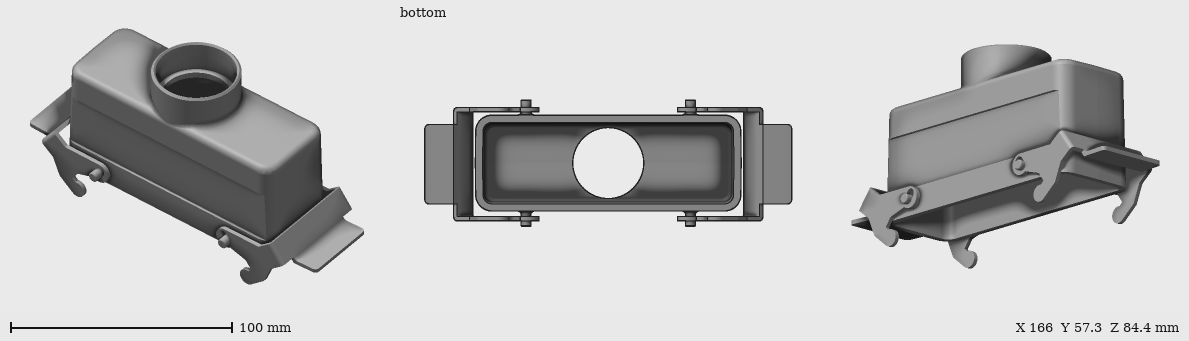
import cadquery as cq
import math

HOOD_LENGTH = 119.9
HOOD_WIDTH = 43.5
HOOD_HEIGHT = 54.8
DRAFT_ANGLE = 1.0
CROWN = 0.25
CORNER_RADIUS = 7.5
ROOF_EDGE_RADIUS = 3.3
WALL = 3.3
CEILING_Z = 52.8
CEILING_EDGE_RADIUS = 1.7

RECESS_HALF_WIDTH = 20.3
RECESS_BOTTOM = 13.0
RECESS_TOP = 39.8
RECESS_TOP_DROP = 0.8

BOSS_DIAMETER = 41.0
BOSS_TOP = 70.9
BOSS_BASE = 33.2
BOSS_RIM_CHAMFER = 1.0
MOUTH_CHAMFER = 0.8
BOSS_ROOT_RADIUS = 2.0
COUNTERBORE_DIAMETER = 37.0
COUNTERBORE_DEPTH = 15.3
ENTRY_DIAMETER = 32.0

PIN_X = 37.2
PIN_Z = 6.1
PIN_DIAMETER = 4.6
PIN_SPAN = 57.3
PIN_ROOT_RADIUS = 1.2
PIN_COLLAR_Y = 21.9
PIN_TIP_CHAMFER = 0.3

SHEET = 2.0
LEVER_WIDTH = 51.3
LEVER_SHIFT_Y = 0.5
BEND_RADIUS = 2.0
INNER_BEND_RADIUS = 0.5
PLATE_TOP = (-62.7, 17.6)
PLATE_ANGLE = math.radians(52)
PLATE_LENGTH = 11.8
BEND_DISTANCE = 13.5
UPPER_EDGE_LENGTH = 8.8
LOWER_EDGE_LENGTH = 6.8

EYE_CENTRE = (-36.4, 7.0)
EYE_RADIUS = 5.06
SLOT_END = (-35.5, 8.5)

SHOULDER = (-62.7, 2.7)
HEEL = (-59.0, -6.5)
HEEL_RADIUS = 1.7
HOOK_CENTRE = (-49.0, -9.5)
HOOK_RADIUS = 4.0
HOOK_MOUTH = (-50.0, HOOK_CENTRE[1] + HOOK_RADIUS)
NOTCH = (-51.5, -4.0)
ARM_CORNER = (-48.5, 0.2)
ARM_END = (-39.8, 2.8)

TAB_TIP_X = -83.0
TAB_TILT = math.radians(2)
TAB_WIDTH = 36.0
TAB_CORNER_RADIUS = 2.0
TAB_BEND_RADIUS = 2.3



def front_half_block(half_length, half_width, height, corner_radius, roof_edge_radius):
    """Half of a drafted block on the -Y side, whose roof and ends rise to a slight ridge at Y = 0."""
    overlap = half_width / 2
    overlap_half_length = half_length + CROWN * (1 + overlap / half_width)
    outline = [
        (-overlap_half_length, overlap),
        (-half_length, -half_width),
        (half_length, -half_width),
        (overlap_half_length, overlap),
    ]
    block = cq.Workplane("XY").polyline(outline).close().extrude(height, taper=DRAFT_ANGLE)
    cross_section = [(-half_width, 0), (0, 0), (0, height), (-half_width, height - CROWN)]
    envelope = cq.Workplane("YZ").polyline(cross_section).close().extrude(overlap_half_length, both=True)
    block = block.intersect(envelope)
    block = block.faces("<Y").edges("not #Z").edges("not |X").fillet(corner_radius)
    return block.faces(">Z").edges("not(|X and >Y)").fillet(roof_edge_radius)


def add_front_boss(half):
    """Front half of the cable entry boss, blended into the roof."""
    radius = BOSS_DIAMETER / 2
    boss = cq.Workplane("XY").workplane(offset=BOSS_BASE).circle(radius).extrude(BOSS_TOP - BOSS_BASE)
    boss = boss.faces(">Z").chamfer(BOSS_RIM_CHAMFER)
    front_space = cq.Workplane("XY").box(BOSS_DIAMETER, BOSS_DIAMETER, 2 * BOSS_TOP)
    boss = boss.intersect(front_space.translate((0, -radius, 0)))
    half = half.union(boss)

    def is_on_root(edge):
        points = [edge.positionAt(t) for t in (0, 0.3, 1)]
        on_boss = all(abs(math.hypot(p.x, p.y) - radius) < 0.02 for p in points)
        return on_boss and edge.Center().z < HOOD_HEIGHT + BOSS_ROOT_RADIUS

    root_edges = [edge for edge in half.edges().vals() if is_on_root(edge)]
    return half.newObject(root_edges).fillet(BOSS_ROOT_RADIUS)


def cut_side_recess(half):
    """Flat upright recess along the whole long side, with a slightly sloping upper edge."""
    half_width = HOOD_WIDTH / 2
    cross_section = [
        (-half_width, RECESS_BOTTOM),
        (-RECESS_HALF_WIDTH, RECESS_BOTTOM),
        (-RECESS_HALF_WIDTH, RECESS_TOP - RECESS_TOP_DROP),
        (-half_width, RECESS_TOP),
    ]
    recess = cq.Workplane("YZ").polyline(cross_section).close().extrude(HOOD_LENGTH, both=True)
    return half.cut(recess)


def make_front_pin(x):
    """Pivot pin pointing along -Y, with a concave flare where it meets the side wall."""
    radius = PIN_DIAMETER / 2
    root_y = HOOD_WIDTH / 2 - WALL / 2
    flare_radius = radius + PIN_ROOT_RADIUS
    tip_y = PIN_SPAN / 2
    slant = PIN_ROOT_RADIUS * math.sqrt(0.5)
    profile = (
        cq.Workplane("XY")
        .moveTo(0, -root_y)
        .lineTo(flare_radius, -root_y)
        .lineTo(flare_radius, -PIN_COLLAR_Y)
        .threePointArc(
            (flare_radius - slant, -PIN_COLLAR_Y - PIN_ROOT_RADIUS + slant),
            (radius, -PIN_COLLAR_Y - PIN_ROOT_RADIUS),
        )
        .lineTo(radius, -tip_y + PIN_TIP_CHAMFER)
        .lineTo(radius - PIN_TIP_CHAMFER, -tip_y)
        .lineTo(0, -tip_y)
        .close()
    )
    pin = profile.revolve(360, (0, 0, 0), (0, 1, 0))
    return pin.translate((x, 0, PIN_Z))


def mirrored_about_xz(half):
    return half.union(half.mirror("XZ"))


def make_housing():
    half = front_half_block(HOOD_LENGTH / 2, HOOD_WIDTH / 2, HOOD_HEIGHT, CORNER_RADIUS, ROOF_EDGE_RADIUS)
    half = add_front_boss(half)
    half = cut_side_recess(half)
    cavity = front_half_block(
        HOOD_LENGTH / 2 - WALL, HOOD_WIDTH / 2 - WALL, CEILING_Z, CORNER_RADIUS - WALL, CEILING_EDGE_RADIUS
    )
    half = half.cut(cavity)
    for x in (-PIN_X, PIN_X):
        half = half.union(make_front_pin(x))
    housing = mirrored_about_xz(half)
    entry = cq.Workplane("XY").workplane(offset=BOSS_TOP)
    housing = housing.cut(entry.circle(COUNTERBORE_DIAMETER / 2).extrude(-COUNTERBORE_DEPTH))
    housing = housing.cut(entry.circle(ENTRY_DIAMETER / 2).extrude(-BOSS_TOP))
    mouth = entry.circle(COUNTERBORE_DIAMETER / 2 + MOUTH_CHAMFER).extrude(-MOUTH_CHAMFER, taper=45)
    return housing.cut(mouth)



def from_point(start, direction, distance):
    return (start[0] + distance * direction[0], start[1] + distance * direction[1])


def tangent_point(point, centre, radius):
    """Where the line from a point touches a circle, on the circle's lower left."""
    dx = point[0] - centre[0]
    dy = point[1] - centre[1]
    angle = math.atan2(dy, dx) + math.acos(radius / math.hypot(dx, dy))
    return (centre[0] + radius * math.cos(angle), centre[1] + radius * math.sin(angle))


def side_prism(profile, width):
    """Solid from a profile in the XZ plane, centred on Y = 0."""
    return profile.extrude(width / 2, both=True)


DOWN_PLATE = (-math.cos(PLATE_ANGLE), -math.sin(PLATE_ANGLE))
INTO_LEVER = (math.sin(PLATE_ANGLE), -math.cos(PLATE_ANGLE))
PLATE_BOTTOM = from_point(PLATE_TOP, DOWN_PLATE, PLATE_LENGTH)


def make_cheek_block():
    """Side outline of the lever, with its hook and its eye, across the full width."""
    hook_tangent = tangent_point(HEEL, HOOK_CENTRE, HOOK_RADIUS)
    outline = [
        PLATE_TOP,
        from_point(PLATE_TOP, INTO_LEVER, UPPER_EDGE_LENGTH),
        (EYE_CENTRE[0], EYE_CENTRE[1] + EYE_RADIUS),
        EYE_CENTRE,
        ARM_END,
        ARM_CORNER,
        NOTCH,
        HOOK_MOUTH,
        HOOK_CENTRE,
        hook_tangent,
        HEEL,
        SHOULDER,
        from_point(PLATE_BOTTOM, INTO_LEVER, LOWER_EDGE_LENGTH),
        PLATE_BOTTOM,
    ]
    block = side_prism(cq.Workplane("XZ").polyline(outline).close(), LEVER_WIDTH)
    heel_edge = cq.selectors.NearestToPointSelector((HEEL[0], 0, HEEL[1]))
    block = block.edges("|Y").edges(heel_edge).fillet(HEEL_RADIUS)
    for centre, radius in ((EYE_CENTRE, EYE_RADIUS), (HOOK_CENTRE, HOOK_RADIUS)):
        block = block.union(side_prism(cq.Workplane("XZ").center(*centre).circle(radius), LEVER_WIDTH))
    return block


def bend_into_channel(block):
    """Rounds the outer bends and hollows the block into a cross plate with two cheeks."""
    outer_face = block.faces(cq.selectors.DirectionMinMaxSelector(cq.Vector(-INTO_LEVER[0], 0, -INTO_LEVER[1])))
    block = outer_face.edges("not |Y").fillet(BEND_RADIUS)
    reach = 4 * LEVER_WIDTH
    inner_start = from_point(PLATE_TOP, INTO_LEVER, SHEET)
    hollow_corners = [
        from_point(inner_start, DOWN_PLATE, -reach),
        from_point(inner_start, DOWN_PLATE, reach),
        from_point(from_point(inner_start, DOWN_PLATE, reach), INTO_LEVER, reach),
        from_point(from_point(inner_start, DOWN_PLATE, -reach), INTO_LEVER, reach),
    ]
    hollow = side_prism(cq.Workplane("XZ").polyline(hollow_corners).close(), LEVER_WIDTH - 2 * SHEET)
    inner_face = hollow.faces(cq.selectors.DirectionMinMaxSelector(cq.Vector(-INTO_LEVER[0], 0, -INTO_LEVER[1])))
    hollow = inner_face.edges("not |Y").fillet(INNER_BEND_RADIUS)
    return block.cut(hollow)


def make_tab():
    """Finger tab, bent outward from the bottom of the cross plate and tilted slightly."""
    below_tab = (-math.sin(TAB_TILT), -math.cos(TAB_TILT))
    outer_bend = from_point(PLATE_TOP, DOWN_PLATE, BEND_DISTANCE)
    mitre = (INTO_LEVER[0] + below_tab[0], INTO_LEVER[1] + below_tab[1])
    cosine = INTO_LEVER[0] * below_tab[0] + INTO_LEVER[1] * below_tab[1]
    inner_bend = from_point(outer_bend, mitre, SHEET / (1 + cosine))
    tip_top = (TAB_TIP_X, outer_bend[1] + (outer_bend[0] - TAB_TIP_X) * math.tan(TAB_TILT))
    tip_bottom = (TAB_TIP_X, tip_top[1] - SHEET / math.cos(TAB_TILT))
    outline = [
        tip_top,
        outer_bend,
        PLATE_BOTTOM,
        from_point(PLATE_BOTTOM, INTO_LEVER, SHEET),
        inner_bend,
        tip_bottom,
    ]
    tab = side_prism(cq.Workplane("XZ").polyline(outline).close(), TAB_WIDTH)
    bend_edge = cq.selectors.NearestToPointSelector((outer_bend[0], 0, outer_bend[1]))
    tab = tab.edges("|Y").edges(bend_edge).fillet(TAB_BEND_RADIUS)
    return tab.faces("<X").edges("|Z").fillet(TAB_CORNER_RADIUS)


def cut_pin_slot(lever):
    """Slot through both cheeks, from the pin to the upper end of its travel."""
    pin_end = (-PIN_X, PIN_Z)
    run = SLOT_END[0] - pin_end[0]
    rise = SLOT_END[1] - pin_end[1]
    length = math.hypot(run, rise) + PIN_DIAMETER
    middle = ((SLOT_END[0] + pin_end[0]) / 2, (SLOT_END[1] + pin_end[1]) / 2)
    slot = cq.Workplane("XZ").center(*middle).slot2D(length, PIN_DIAMETER, math.degrees(math.atan2(rise, run)))
    return lever.cut(side_prism(slot, 2 * LEVER_WIDTH))


def make_lever():
    lever = bend_into_channel(make_cheek_block())
    lever = lever.union(make_tab())
    return cut_pin_slot(lever)


housing = make_housing()
left_lever = make_lever().translate((0, LEVER_SHIFT_Y, 0))
levers = [left_lever, left_lever.mirror("YZ")]

result = cq.Compound.makeCompound([housing.val(), *[lever.val() for lever in levers]])